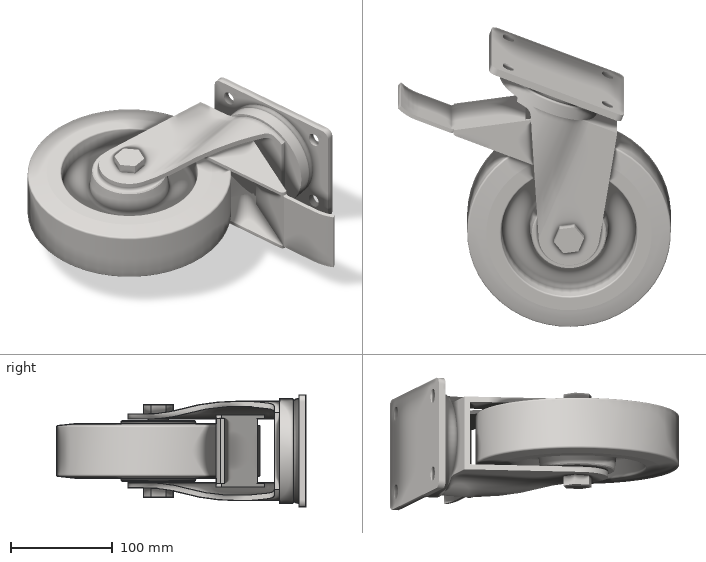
import cadquery as cq
import math


total_length = 305.3
total_height = 245.0

wheel_radius = 200.0 / 2
tread_half_width = 25.0
tread_edge_radius = 1.8
rim_radius = 81.2
rim_half_width = 27.0
rim_lip_radius = 1.5
rim_lip_start = 68.5
rim_wall_taper = 1.5
web_radius = 60.8
web_half_width = 5.8
hub_half_width = 59.5 / 2
hub_radius = 36.5
hub_edge = 1.07
hub_base_radius = 39.0
hub_foot_radius = 42.5
axle_diameter = 20.0

swivel_x = 70.0
sheet = 5.2
fork_half_width = 36.3
fork_top = 119.0
fork_end_radius = 30.0
fork_back_x = -3.0
fork_front_tilt = 25.2
crown_front_x = 101.0
bulge_radius = 49.0
flare_start_x = 27.0
notch_radius = 10.0
bolt_across_flats = 25.5
bolt_head_height = 9.2

plate_top = total_height - wheel_radius
plate_length = 139.8
plate_width = 110.0
plate_thickness = 7.0
plate_corner_radius = 6.7
slot_pitch_x = 105.0
slot_pitch_z = 77.5
slot_length = 14.0
slot_width = 11.5
ring_radius = 103.0 / 2
groove_radius = 49.5
groove_y = 132.8
ring_shoulder_y = 131.0

pedal_tip_x = total_length - wheel_radius
pedal_sheet = 4.0
pedal_half_width = 31.8
side_outer = 35.5
pedal_slope = 30.0
pedal_bend_x = 148.7
pedal_bottom = 56.8
web_end_x = 85.2
curl_start_x = 184.7
curl_angle = 24.3
side_back_x = 73.3
side_foot_x = 36.5
side_nose_x = 146.5
side_nose_radius = 4.0


def polar(radius, degrees):
    """Point at a radius and an angle about the origin."""
    angle = math.radians(degrees)
    return (radius * math.cos(angle), radius * math.sin(angle))


def make_wheel():
    """Tread band around a hub, web and rim that are symmetric about the mid plane."""
    hub_edge_z = hub_half_width - hub_edge
    hub_fillet = hub_foot_radius - hub_base_radius
    wall_top_radius = rim_lip_start - rim_lip_radius
    wall_foot_radius = wall_top_radius - rim_wall_taper
    wall_fillet = wall_foot_radius - web_radius
    rim_outer_radius = wheel_radius - tread_edge_radius
    tread = (
        cq.Workplane("XY", origin=(0, 0, -tread_half_width))
        .circle(wheel_radius)
        .extrude(2 * tread_half_width)
        .edges()
        .fillet(tread_edge_radius)
        .cut(cq.Workplane("XY").circle(rim_radius).extrude(tread_half_width, both=True))
    )
    half = (
        cq.Workplane("XZ")
        .lineTo(0, hub_half_width)
        .lineTo(hub_radius - hub_edge, hub_half_width)
        .lineTo(hub_radius, hub_edge_z)
        .lineTo(hub_base_radius, web_half_width + hub_fillet)
        .radiusArc((hub_foot_radius, web_half_width), -hub_fillet)
        .lineTo(web_radius, web_half_width)
        .radiusArc((wall_foot_radius, web_half_width + wall_fillet), -wall_fillet)
        .lineTo(wall_top_radius, rim_half_width - rim_lip_radius)
        .radiusArc((rim_lip_start, rim_half_width), rim_lip_radius)
        .lineTo(rim_radius, rim_half_width)
        .lineTo(rim_outer_radius, tread_half_width)
        .lineTo(rim_outer_radius, 0)
        .close()
        .revolve(360, (0, 0, 0), (0, 1, 0))
    )
    return tread.union(half).union(half.mirror("XY"))


def make_axle():
    """Axle through the wheel with a hexagonal head outside each fork leg."""
    end = fork_half_width + bolt_head_height
    across_corners = bolt_across_flats / math.cos(math.radians(30))
    axle = cq.Workplane("XY").circle(axle_diameter / 2).extrude(end, both=True)
    heads = cq.Workplane("XY").polygon(6, across_corners).extrude(end, both=True)
    gap = cq.Workplane("XY").circle(across_corners).extrude(fork_half_width, both=True)
    return axle.union(heads.cut(gap).rotate((0, 0, 0), (0, 0, 1), 90))


def fork_plan(offset, bottom, top):
    """Block with the fork's plan outline, moved inward by an offset, between two heights."""
    half_width = fork_half_width - offset
    bulge = bulge_radius - offset
    run = swivel_x - flare_start_x
    flare = (run**2 + half_width**2 - bulge**2) / (2 * (bulge - half_width))
    share = bulge / (bulge + flare)
    meet = (swivel_x - share * run, share * (half_width + flare))
    front_z = math.sqrt(bulge**2 - (crown_front_x - swivel_x) ** 2)
    half = (
        cq.Workplane("XZ", origin=(0, bottom, 0))
        .moveTo(-2 * fork_end_radius, 0)
        .lineTo(-2 * fork_end_radius, half_width)
        .lineTo(flare_start_x, half_width)
        .radiusArc(meet, -flare)
        .radiusArc((crown_front_x, front_z), bulge)
        .lineTo(crown_front_x, 0)
        .close()
        .extrude(bottom - top)
    )
    return half.union(half.mirror("XY"))


def fork_side():
    """Side outline of the fork, extruded across the full width."""
    crown_bottom = fork_top - sheet
    corner_distance = math.hypot(fork_back_x, fork_top)
    corner_angle = math.degrees(math.atan2(fork_top, fork_back_x))
    back_angle = corner_angle + math.degrees(math.acos(fork_end_radius / corner_distance))
    back = polar(fork_end_radius, back_angle)
    front = polar(fork_end_radius, -fork_front_tilt)
    tilt = math.radians(fork_front_tilt)
    notch_x = front[0] + (crown_bottom - front[1]) * math.tan(tilt)
    tangent_length = notch_radius * math.tan((math.pi / 2 - tilt) / 2)
    notch_low = (notch_x - tangent_length * math.sin(tilt), crown_bottom - tangent_length * math.cos(tilt))
    return (
        cq.Workplane("XY")
        .moveTo(fork_back_x, fork_top)
        .lineTo(*back)
        .threePointArc((0, -fork_end_radius), front)
        .lineTo(*notch_low)
        .radiusArc((notch_x + tangent_length, crown_bottom), notch_radius)
        .lineTo(crown_front_x, crown_bottom)
        .lineTo(crown_front_x, fork_top)
        .close()
        .extrude(bulge_radius, both=True)
    )


def make_fork():
    """Bent sheet fork: a crown and two legs that bulge around the swivel axis."""
    outside = fork_plan(0, -fork_end_radius, fork_top)
    inside = fork_plan(sheet, -fork_end_radius, fork_top - sheet)
    return outside.cut(inside).intersect(fork_side())


def make_mount():
    """Slotted mounting plate with the grooved swivel ring below it."""
    plate_bottom = plate_top - plate_thickness
    plate = (
        cq.Workplane("XZ", origin=(swivel_x, plate_bottom, 0))
        .rect(plate_length, plate_width)
        .extrude(-plate_thickness)
        .edges("|Y")
        .fillet(plate_corner_radius)
    )
    slots = (
        cq.Workplane("XZ", origin=(swivel_x, plate_bottom, 0))
        .rect(slot_pitch_x, slot_pitch_z, forConstruction=True)
        .vertices()
        .slot2D(slot_length, slot_width, 90)
        .extrude(-plate_thickness)
    )
    depth = ring_radius - groove_radius

    def edge_radius(height):
        return (height**2 + depth**2) / (2 * depth)

    ring = (
        cq.Workplane("XY")
        .moveTo(0, fork_top)
        .lineTo(ring_radius, fork_top)
        .lineTo(ring_radius, ring_shoulder_y)
        .radiusArc((groove_radius, groove_y), -edge_radius(groove_y - ring_shoulder_y))
        .radiusArc((ring_radius, plate_bottom), -edge_radius(plate_bottom - groove_y))
        .lineTo(0, plate_bottom)
        .close()
        .revolve(360, (0, 0, 0), (0, 1, 0))
        .translate((swivel_x, 0, 0))
    )
    return plate.cut(slots).union(ring)


def make_pedal():
    """Brake pedal: a sloping web, a flat lever with a curled tip and two side plates."""
    lever_top = pedal_bottom + pedal_sheet
    slope = math.radians(pedal_slope)
    curl = math.radians(curl_angle)

    def top_line(x):
        return lever_top + (pedal_bend_x - x) * math.tan(slope)

    low_bend_x = pedal_bend_x - pedal_sheet * math.tan(slope / 2)
    curl_radius = (pedal_tip_x - curl_start_x) / math.sin(curl)
    tip = (pedal_tip_x, pedal_bottom + curl_radius * (1 - math.cos(curl)))
    tip_top = (tip[0] - pedal_sheet * math.sin(curl), tip[1] + pedal_sheet * math.cos(curl))
    strip = (
        cq.Workplane("XY")
        .moveTo(web_end_x, top_line(web_end_x))
        .lineTo(web_end_x, top_line(web_end_x) - pedal_sheet / math.cos(slope))
        .lineTo(low_bend_x, pedal_bottom)
        .lineTo(curl_start_x, pedal_bottom)
        .radiusArc(tip, -curl_radius)
        .lineTo(*tip_top)
        .radiusArc((curl_start_x, lever_top), curl_radius - pedal_sheet)
        .lineTo(pedal_bend_x, lever_top)
        .close()
        .extrude(pedal_half_width, both=True)
    )
    side_outline = (
        cq.Workplane("XY")
        .moveTo(side_foot_x, pedal_bottom)
        .lineTo(side_nose_x - side_nose_radius, pedal_bottom)
        .radiusArc((side_nose_x, pedal_bottom + side_nose_radius), -side_nose_radius)
        .lineTo(side_nose_x, top_line(side_nose_x))
        .lineTo(side_back_x, top_line(side_back_x))
        .close()
    )
    side = side_outline.extrude(side_outer - pedal_half_width)
    side = side.translate((0, 0, pedal_half_width))
    return strip.union(side).union(side.mirror("XY"))


result = make_wheel().union(make_axle()).union(make_fork()).union(make_mount()).union(make_pedal())